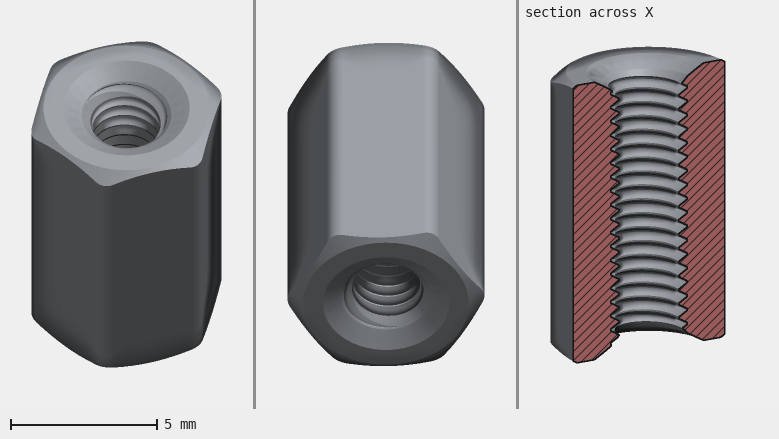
import cadquery as cq
import math

across_flats = 6.0
length = 10.0
corner_radius = 0.6
end_face_diameter = 5.68
end_bevel_slope = math.tan(math.radians(30))

minor_diameter = 2.34
lead_in_diameter = 3.07
countersink_diameter = 4.32
countersink_slope = math.tan(math.radians(30))
lead_in_slope = math.tan(math.radians(45))

pitch = 0.5
major_diameter = 3.0
crest_width = 0.06
flank_slope = math.tan(math.radians(30))
thread_start = -0.15
groove_overlap = 0.03

across_corners = across_flats / math.cos(math.radians(30))
corner_reach = across_corners / 2
end_face_radius = end_face_diameter / 2
minor_radius = minor_diameter / 2
major_radius = major_diameter / 2
lead_in_radius = lead_in_diameter / 2
countersink_radius = countersink_diameter / 2
countersink_depth = (countersink_radius - lead_in_radius) * countersink_slope
lead_in_end = countersink_depth + (lead_in_radius - minor_radius) * lead_in_slope


def revolve_symmetric(lower_points):
    """Revolve (radius, height) points about Z, mirrored about mid-length."""
    upper_points = [(radius, length - height) for radius, height in reversed(lower_points)]
    return (
        cq.Workplane("XZ")
        .polyline(lower_points + upper_points)
        .close()
        .revolve(360, (0, 0, 0), (0, 1, 0))
    )


def make_body():
    """Hexagonal prism with rounded corners and conically bevelled ends."""
    prism = (
        cq.Workplane("XY")
        .polygon(6, across_corners)
        .extrude(length)
        .edges("|Z")
        .fillet(corner_radius)
    )
    bevel_drop = (corner_reach - end_face_radius) * end_bevel_slope
    envelope = revolve_symmetric([(0, 0), (end_face_radius, 0), (corner_reach, bevel_drop)])
    return prism.intersect(envelope)


def make_bore():
    """Through bore with the countersink and lead-in cones at both ends."""
    return revolve_symmetric([
        (0, 0),
        (countersink_radius, 0),
        (lead_in_radius, countersink_depth),
        (minor_radius, lead_in_end),
    ])


def make_groove_turn():
    """One turn of the thread groove, bounded by ruled surfaces between four helices."""
    inner_radius = minor_radius - groove_overlap
    root_half_width = (pitch - crest_width) / 2 - (major_radius - minor_radius) * flank_slope
    inner_half_width = root_half_width + (major_radius - inner_radius) * flank_slope
    section = [
        (inner_radius, -inner_half_width),
        (major_radius, -root_half_width),
        (major_radius, root_half_width),
        (inner_radius, inner_half_width),
    ]
    helices = [
        cq.Wire.makeHelix(pitch, pitch, radius, center=cq.Vector(0, 0, height)).Edges()[0]
        for radius, height in section
    ]
    next_helices = helices[1:] + helices[:1]
    sides = [cq.Face.makeRuledSurface(edge, other) for edge, other in zip(helices, next_helices)]
    start_outline = cq.Wire.makePolygon([edge.startPoint() for edge in helices], close=True)
    end_outline = cq.Wire.makePolygon([edge.endPoint() for edge in helices], close=True)
    ends = [cq.Face.makeFromWires(outline) for outline in (start_outline, end_outline)]
    return cq.Solid.makeSolid(cq.Shell.makeShell(sides + ends))


def cut_thread(part):
    """Cut the groove turn by turn, from the open space of one countersink to the other."""
    turn = make_groove_turn()
    for index in range(round(length / pitch)):
        placed_turn = turn.translate(cq.Vector(0, 0, thread_start + index * pitch))
        part = part.cut(cq.Workplane(placed_turn), clean=False)
    return part


result = cut_thread(make_body().cut(make_bore()))